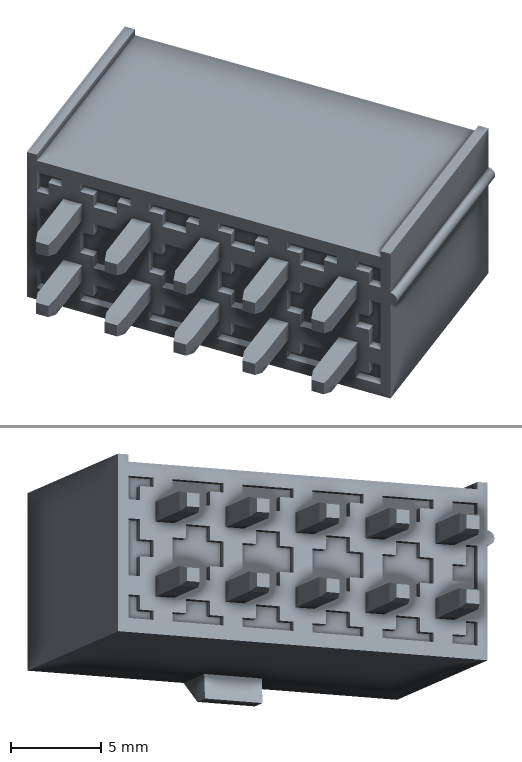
import cadquery as cq

BODY_WIDTH = 22.2
BODY_DEPTH = 12.8
BODY_HEIGHT = 9.58
RAIL_WIDTH = 0.6
RAIL_HEIGHT = 0.4

RIDGE_RADIUS = 0.4

LATCH_WIDTH = 3.45
LATCH_DROP = 1.4
LATCH_RAMP_LENGTH = 1.95
LATCH_ROOT_LENGTH = 2.92
LATCH_TIP_LENGTH = 3.03

COLUMNS = 5
ROWS = 2
PITCH = 4.2
GRID_CENTRE_Z = BODY_HEIGHT / 2

PIN_SIZE = 1.13
PIN_TIP_SIZE = 0.77
PIN_LENGTH = 4.0
PIN_TIP_LENGTH = 0.6
PIN_OFFSET_X = 0.11

RECESS_DEPTH = 0.5
CROSS_SPAN = 3.05
CROSS_ARM = 1.45
SIDE_CROSS_HEIGHT = 3.2
SIDE_CROSS_ARM = 0.95
FIELD_WIDTH = BODY_WIDTH - 2 * RAIL_WIDTH
FIELD_HEIGHT = 8.0


def grid_positions(count):
    """Return evenly pitched positions centred on zero."""
    return [(index - (count - 1) / 2) * PITCH for index in range(count)]


def front_block(width, height, x, z):
    """Return a block reaching one recess depth into the housing front."""
    block = cq.Workplane("XY").box(width, RECESS_DEPTH, height)
    return block.translate((x, RECESS_DEPTH / 2, z))


def make_housing():
    """Block with a low rail along each top side edge."""
    housing = cq.Workplane("XY").box(
        BODY_WIDTH, BODY_DEPTH, BODY_HEIGHT, centered=(True, False, False)
    )
    rail_x = (BODY_WIDTH - RAIL_WIDTH) / 2
    rails = (
        cq.Workplane("XY", origin=(0, BODY_DEPTH / 2, BODY_HEIGHT))
        .pushPoints([(-rail_x, 0), (rail_x, 0)])
        .rect(RAIL_WIDTH, BODY_DEPTH)
        .extrude(RAIL_HEIGHT)
    )
    return housing.union(rails)


def make_ridge():
    """Rod half buried in the +X side, level with the upper pin row."""
    ridge_z = GRID_CENTRE_Z + grid_positions(ROWS)[-1]
    return (
        cq.Workplane("XZ", origin=(BODY_WIDTH / 2, 0, ridge_z))
        .circle(RIDGE_RADIUS)
        .extrude(-BODY_DEPTH)
    )


def make_latch():
    """Hook with a ramp rising to the rear face and an undercut front."""
    return (
        cq.Workplane("YZ", origin=(0, BODY_DEPTH, 0))
        .moveTo(0, 0)
        .lineTo(-LATCH_RAMP_LENGTH, -LATCH_DROP)
        .lineTo(-LATCH_TIP_LENGTH, -LATCH_DROP)
        .lineTo(-LATCH_ROOT_LENGTH, 0)
        .close()
        .extrude(LATCH_WIDTH / 2, both=True)
    )


def make_pin(x, z):
    """Square pin standing out of the front face, with a tapered tip."""
    shank_length = PIN_LENGTH - PIN_TIP_LENGTH
    return (
        cq.Workplane("XZ", origin=(x, 0, z))
        .rect(PIN_SIZE, PIN_SIZE)
        .extrude(shank_length)
        .faces("<Y")
        .workplane()
        .rect(PIN_SIZE, PIN_SIZE)
        .workplane(offset=PIN_TIP_LENGTH)
        .rect(PIN_TIP_SIZE, PIN_TIP_SIZE)
        .loft(combine=True)
    )


def make_recesses():
    """Crosses at the cell corners; those on the border are cut off by the field."""
    column_positions = grid_positions(COLUMNS + 1)
    row_positions = grid_positions(ROWS + 1)
    side_columns = (column_positions[0], column_positions[-1])
    end_rows = (row_positions[0], row_positions[-1])
    crosses = cq.Workplane("XY")
    for x in column_positions:
        for row_z in row_positions:
            on_side = x in side_columns and row_z not in end_rows
            height = SIDE_CROSS_HEIGHT if on_side else CROSS_SPAN
            arm = SIDE_CROSS_ARM if on_side else CROSS_ARM
            z = GRID_CENTRE_Z + row_z
            crosses = crosses.add(front_block(CROSS_SPAN, arm, x, z))
            crosses = crosses.add(front_block(CROSS_ARM, height, x, z))
    field = front_block(FIELD_WIDTH, FIELD_HEIGHT, 0, GRID_CENTRE_Z)
    return crosses.combine().intersect(field)


result = make_housing().union(make_ridge()).union(make_latch()).cut(make_recesses())
for column_x in grid_positions(COLUMNS):
    for pin_row_z in grid_positions(ROWS):
        result = result.union(make_pin(PIN_OFFSET_X + column_x, GRID_CENTRE_Z + pin_row_z))